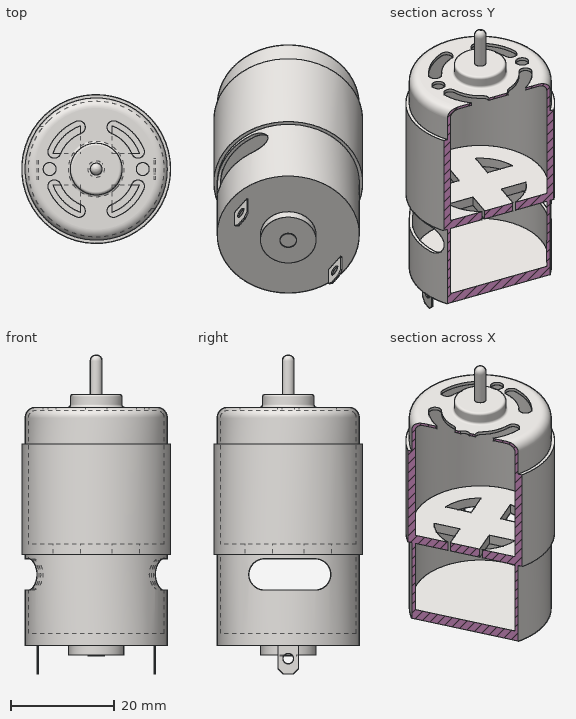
import cadquery as cq
import math

can_diameter = 27.5
can_bore = 26.26
can_height = 46.05
can_edge_radius = 2.0
wall = (can_diameter - can_bore) / 2
floor_thickness = 2.3

sleeve_diameter = 28.8
sleeve_bottom = 17.6
sleeve_top = 39.0

collar_diameter = 10.0
collar_height = 2.5
collar_fillet = 0.5
shaft_diameter = 2.3
shaft_length = 10.1
shaft_tip_radius = 1.1

boss_diameter = 10.75
boss_height = 1.85
nub_diameter = 3.2
nub_height = 0.2

vent_outer_radius = 10.0
vent_width = 2.5
vent_mid_radius = vent_outer_radius - vent_width / 2
vent_half_span = 22.5
vent_angles = (45, 135, 225, 315)
screw_hole_diameter = 2.5
screw_hole_offset = 9.0

window_width = 15.8
window_height = 6.0
window_center_z = 13.75
window_center_y = 0.3

spider_bottom = sleeve_bottom
spider_thickness = 2.0
opening_radius = 8.9
rib_width = 6.1

terminal_width = 4.0
terminal_thickness = 0.3
terminal_length = 5.5
terminal_chamfer = 1.0
terminal_offset = 11.3
terminal_hole_diameter = 2.0
terminal_hole_drop = 2.5


def disc(diameter, bottom, top):
    return cq.Workplane("XY").workplane(offset=bottom).circle(diameter / 2).extrude(top - bottom)


def make_can():
    body = disc(can_diameter, 0, can_height).faces(">Z").edges().fillet(can_edge_radius)
    body = body.union(disc(sleeve_diameter, sleeve_bottom, sleeve_top))
    cavity = disc(can_bore, floor_thickness, can_height - wall)
    cavity = cavity.faces(">Z").edges().fillet(can_edge_radius - wall)
    return body.cut(cavity)


def make_collar():
    radius = collar_diameter / 2
    fillet = collar_fillet
    collar_top = can_height + collar_height
    return (
        cq.Workplane("XZ")
        .moveTo(0, can_height - wall)
        .lineTo(radius + fillet, can_height - wall)
        .lineTo(radius + fillet, can_height)
        .radiusArc((radius, can_height + fillet), fillet)
        .lineTo(radius, collar_top - fillet)
        .radiusArc((radius - fillet, collar_top), -fillet)
        .lineTo(0, collar_top)
        .close()
        .revolve(360, (0, 0, 0), (0, 1, 0))
    )


def make_shaft():
    shaft = disc(shaft_diameter, can_height, can_height + shaft_length)
    return shaft.faces(">Z").edges().fillet(shaft_tip_radius)


def polar(radius, angle):
    radians = math.radians(angle)
    return (radius * math.cos(radians), radius * math.sin(radians))


def make_vent(angle):
    start = angle - vent_half_span
    end = angle + vent_half_span
    inner = vent_outer_radius - vent_width
    end_angle = math.degrees(vent_width / 2 / vent_mid_radius)
    return (
        cq.Workplane("XY")
        .workplane(offset=can_height - wall)
        .moveTo(*polar(vent_outer_radius, start))
        .threePointArc(polar(vent_outer_radius, angle), polar(vent_outer_radius, end))
        .threePointArc(polar(vent_mid_radius, end + end_angle), polar(inner, end))
        .threePointArc(polar(inner, angle), polar(inner, start))
        .threePointArc(polar(vent_mid_radius, start - end_angle), polar(vent_outer_radius, start))
        .close()
        .extrude(wall)
    )


def make_spider():
    spider_top = spider_bottom + spider_thickness
    plate = disc(can_bore, spider_bottom, spider_top)
    openings = disc(2 * opening_radius, spider_bottom, spider_top)
    rib = (
        cq.Workplane("XY")
        .workplane(offset=spider_bottom)
        .rect(can_bore, rib_width)
        .extrude(spider_thickness)
    )
    openings = openings.cut(rib).cut(rib.rotate((0, 0, 0), (0, 0, 1), 90))
    return plate.cut(openings)


def make_windows():
    return (
        cq.Workplane("YZ")
        .center(window_center_y, window_center_z)
        .slot2D(window_width, window_height)
        .extrude(sleeve_diameter / 2, both=True)
    )


def make_terminal(side):
    blade = cq.Workplane("XY").box(
        terminal_thickness, terminal_width, terminal_length, centered=(True, True, False)
    )
    blade = blade.edges("|X and <Z").chamfer(terminal_chamfer)
    hole = (
        cq.Workplane("YZ")
        .center(0, terminal_length - terminal_hole_drop)
        .circle(terminal_hole_diameter / 2)
        .extrude(terminal_thickness, both=True)
    )
    return blade.cut(hole).translate((side * terminal_offset, 0, -terminal_length))


result = make_can()
for angle in vent_angles:
    result = result.cut(make_vent(angle))
for side in (-1, 1):
    screw_hole = disc(screw_hole_diameter, can_height - wall, can_height)
    result = result.cut(screw_hole.translate((side * screw_hole_offset, 0, 0)))
result = result.cut(make_windows())

result = result.union(make_spider())
result = result.union(make_collar()).union(make_shaft())
result = result.union(disc(boss_diameter, -boss_height, 0))
result = result.union(disc(nub_diameter, -boss_height - nub_height, -boss_height))
for side in (-1, 1):
    result = result.union(make_terminal(side))